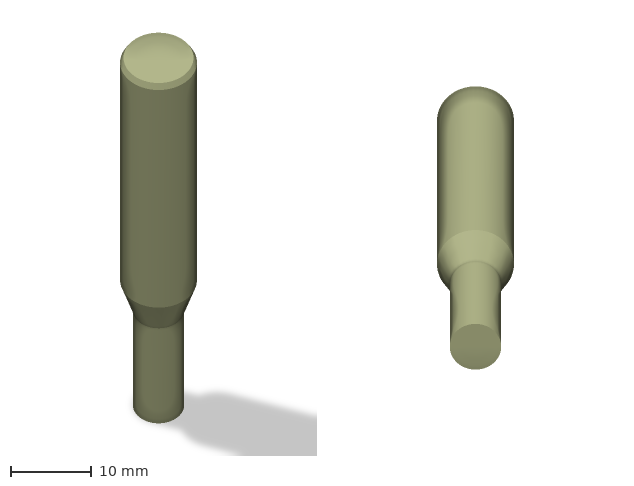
import cadquery as cq

total_length = 61.9
shank_diameter = 9.55
cutter_diameter = 6.4
neck_diameter = cutter_diameter
cutter_length = 16.05
neck_length = 0.9
taper_length = 5.3
chamfer_height = 0.8
chamfer_inset = 0.45

neck_top = cutter_length + neck_length
taper_top = neck_top + taper_length
shank_radius = shank_diameter / 2
neck_radius = neck_diameter / 2


def make_cutter():
    """Plain cylindrical cutting section at the bottom of the tool."""
    return cq.Workplane("XY").circle(cutter_diameter / 2).extrude(cutter_length)


def make_shank():
    """Shank with a short neck, a conical taper and a chamfered top, revolved about Z."""
    return (
        cq.Workplane("XZ")
        .moveTo(0, cutter_length)
        .lineTo(neck_radius, cutter_length)
        .lineTo(neck_radius, neck_top)
        .lineTo(shank_radius, taper_top)
        .lineTo(shank_radius, total_length - chamfer_height)
        .lineTo(shank_radius - chamfer_inset, total_length)
        .lineTo(0, total_length)
        .close()
        .revolve(360, (0, 0, 0), (0, 1, 0))
    )


cutter = make_cutter()
shank = make_shank()

result = cq.Compound.makeCompound([cutter.val(), shank.val()])